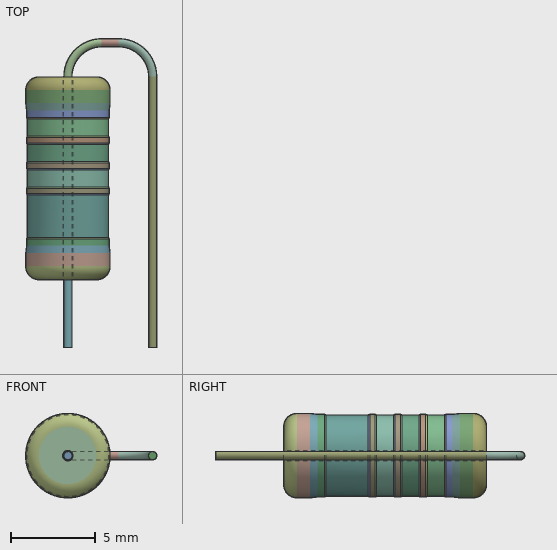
import cadquery as cq

overall_length = 18.25
overall_width = 7.75

body_length = 11.99
end_radius = 2.5
band_radius = 2.45
core_radius = 2.4
end_round = 0.8
end_cap_length = 1.57

band_width = 0.5
band_bevel = 0.1
band_pitch = 1.5
end_band_start = 2.0

lead_diameter = 0.5
lead_radius = lead_diameter / 2
bore_clearance = 0.05
bend_radius = 2.0
lead_pitch = overall_width - end_radius - lead_radius
lead_projection = overall_length - body_length - bend_radius - lead_radius

front_band_start = end_band_start
back_band_end = body_length - end_band_start
back_band_start = back_band_end - band_width


def ring(radius, start, length):
    """Solid cylinder on the body axis, extending toward +Y."""
    return cq.Workplane("XZ", origin=(0, start, 0)).circle(radius).extrude(-length)


def make_end_cap():
    """Half outline of the front end: rounded rim, taper and first beveled band, revolved about Y."""
    band_end = front_band_start + band_width
    return (
        cq.Workplane("XY")
        .lineTo(end_radius - end_round, 0)
        .radiusArc((end_radius, end_round), -end_round)
        .lineTo(end_radius, end_cap_length)
        .lineTo(band_radius, front_band_start)
        .lineTo(band_radius, band_end - band_bevel)
        .lineTo(core_radius, band_end)
        .lineTo(0, band_end)
        .close()
        .revolve(360, (0, 0, 0), (0, 1, 0))
    )


def make_middle_band(start):
    """Raised band beveled at both sides."""
    end = start + band_width
    return (
        cq.Workplane("XY")
        .moveTo(0, start)
        .lineTo(core_radius, start)
        .lineTo(band_radius, start + band_bevel)
        .lineTo(band_radius, end - band_bevel)
        .lineTo(core_radius, end)
        .lineTo(0, end)
        .close()
        .revolve(360, (0, 0, 0), (0, 1, 0))
    )


def make_body():
    front_cap = make_end_cap()
    back_cap = front_cap.mirror("XZ").translate((0, body_length, 0))
    core = ring(core_radius, front_band_start, back_band_end - front_band_start)
    body = core.union(front_cap).union(back_cap)
    for index in range(1, 4):
        body = body.union(make_middle_band(back_band_start - index * band_pitch))
    return body.cut(ring(lead_radius + bore_clearance, 0, body_length))


def make_lead():
    """Round wire through the body, bent back to run alongside it."""
    bend_top = body_length + bend_radius
    path = (
        cq.Workplane("XY")
        .moveTo(0, -lead_projection)
        .lineTo(0, body_length)
        .radiusArc((bend_radius, bend_top), bend_radius)
        .lineTo(lead_pitch - bend_radius, bend_top)
        .radiusArc((lead_pitch, body_length), bend_radius)
        .lineTo(lead_pitch, -lead_projection)
    )
    return cq.Workplane("XZ", origin=(0, -lead_projection, 0)).circle(lead_radius).sweep(path)


body = make_body()
lead = make_lead()

result = cq.Compound.makeCompound([body.val(), lead.val()])